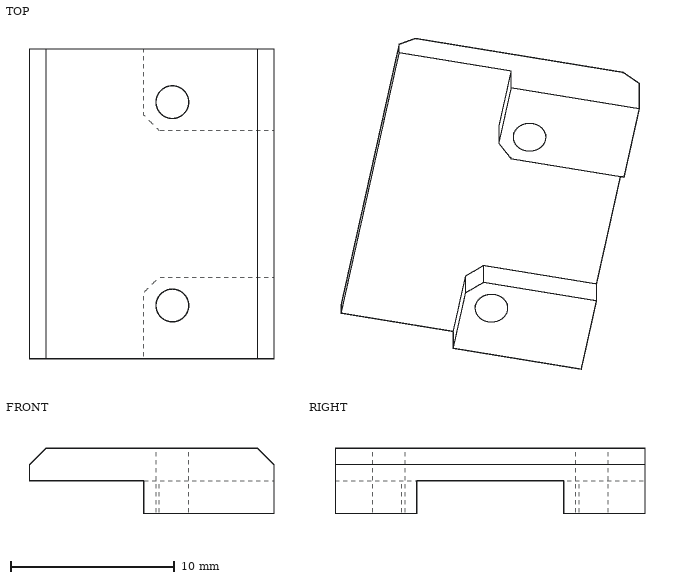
import cadquery as cq

length_x = 15.0
length_y = 19.0
height = 4.0
plate_thickness = 2.01
top_chamfer = 1.0

foot_start_x = 7.0
foot_width = 5.0
foot_chamfer = 0.95

hole_diameter = 2.0
hole_x = 8.75
hole_edge_distance = 3.27


def make_plate():
    """Plate with its two long top edges chamfered."""
    plate = cq.Workplane("XY").box(length_x, length_y, plate_thickness, centered=False)
    plate = plate.translate((0, 0, height - plate_thickness))
    return plate.faces(">Z").edges("|Y").chamfer(top_chamfer)


def make_front_foot():
    """Foot flush with the front side, chamfered at its inner left corner."""
    foot_length = length_x - foot_start_x
    foot_height = height - plate_thickness
    foot = cq.Workplane("XY").box(foot_length, foot_width, foot_height, centered=False)
    foot = foot.edges("|Z").edges("<X").edges(">Y").chamfer(foot_chamfer)
    return foot.translate((foot_start_x, 0, 0))


front_foot = make_front_foot()
back_foot = front_foot.mirror("XZ", (0, length_y / 2, 0))
body = make_plate().union(front_foot).union(back_foot)

hole_centers = [
    (hole_x, hole_edge_distance),
    (hole_x, length_y - hole_edge_distance),
]
holes = cq.Workplane("XY").pushPoints(hole_centers).circle(hole_diameter / 2).extrude(height)
result = body.cut(holes)